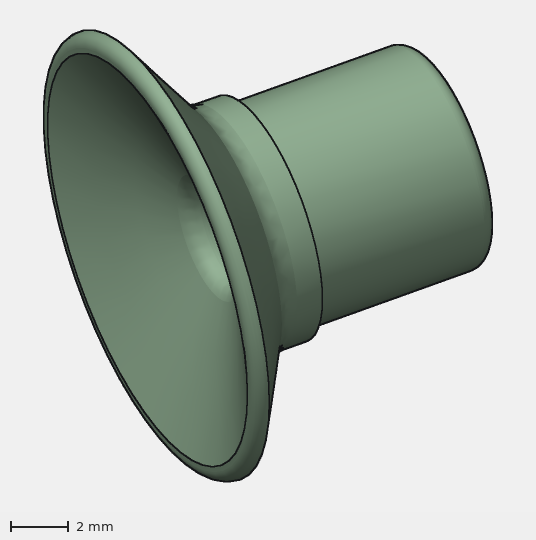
import cadquery as cq
import math

total_length = 11.5
bell_radius = 8.25
rim_rounding = 0.5
rim_flat_width = 0.2

collar_radius = 4.52
collar_end = 4.49
bell_collar_corner = 2.97
neck_fillet = 1.0
barrel_radius = 4.14
barrel_end_fillet = 0.5

mouth_angle = 24.2
throat_radius = 1.9
throat_end = 3.12
throat_fillet = 0.73
exit_radius = 3.0

mouth_radius = bell_radius - rim_rounding - rim_flat_width
throat_depth = (mouth_radius - throat_radius) * math.tan(math.radians(mouth_angle))


def revolved_body():
    """Half section (radius, Y) spun about the Y axis, with a rounded rim."""
    rounding_offset = rim_rounding * math.sqrt(0.5)
    rim_middle = (
        bell_radius - rim_rounding + rounding_offset,
        rim_rounding - rounding_offset,
    )
    return (
        cq.Workplane("XY")
        .moveTo(mouth_radius, 0)
        .lineTo(bell_radius - rim_rounding, 0)
        .threePointArc(rim_middle, (bell_radius, rim_rounding))
        .lineTo(collar_radius, bell_collar_corner)
        .lineTo(collar_radius, collar_end)
        .lineTo(barrel_radius, collar_end)
        .lineTo(barrel_radius, total_length)
        .lineTo(exit_radius, total_length)
        .lineTo(throat_radius, throat_end)
        .lineTo(throat_radius, throat_depth)
        .close()
        .revolve(360, (0, 0), (0, 1))
    )


def round_circle(body, radius, y, fillet):
    """Fillet the circular edge of the given radius at position y."""
    margin = 0.02
    edge_zone = cq.selectors.BoxSelector(
        (-radius - margin, y - margin, -radius - margin),
        (radius + margin, y + margin, radius + margin),
        boundingbox=True,
    )
    circles = body.edges("%CIRCLE").edges(edge_zone)
    edge = max(circles.vals(), key=lambda circle: circle.radius())
    return body.newObject([edge]).fillet(fillet)


result = revolved_body()
result = round_circle(result, collar_radius, bell_collar_corner, neck_fillet)
result = round_circle(result, barrel_radius, total_length, barrel_end_fillet)
result = round_circle(result, throat_radius, throat_depth, throat_fillet)